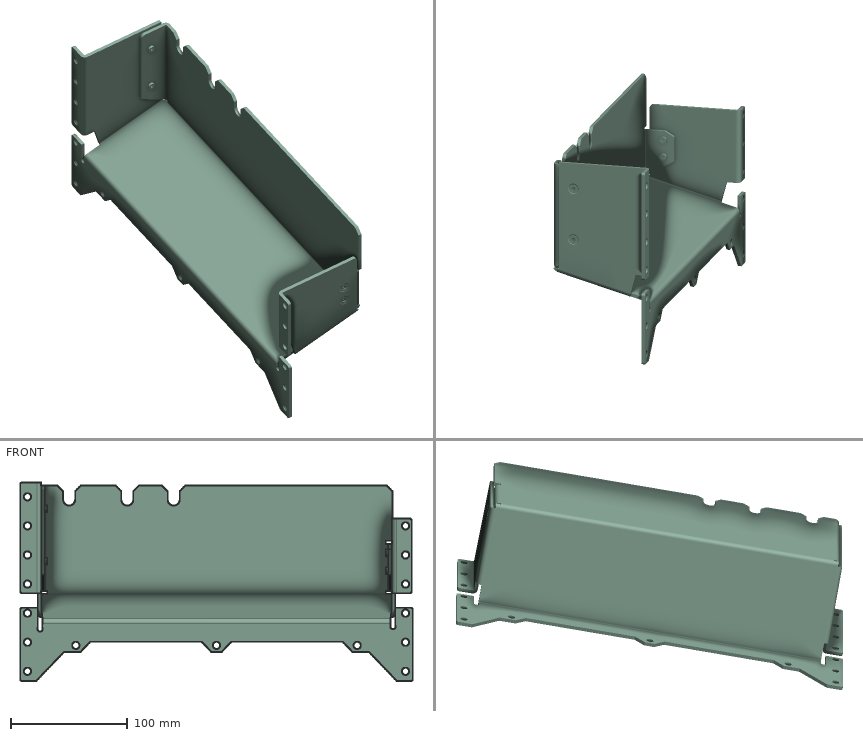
import cadquery as cq
import math

sheet = 3.0
inner_bend = 1.0
outer_bend = inner_bend + sheet

slope = 15
floor_top_at_front = 53.0
floor_half_width = 149.7
slope_cos = math.cos(math.radians(slope))
slope_tan = math.tan(math.radians(slope))
floor_drop = sheet / slope_cos

depth = 86.5
wall_front = depth - sheet
wall_top = 168.3
wall_right = 151.5
wall_chamfer = 5.0
notch_centres = (-126.8, -76.7, -37.0)
notch_width = 10.0
notch_bottom = 151.0
notch_flare = 5.0
relief_bottom = 75.0
relief_end = 145.7
tab_bottom = 77.5
tab_front = 58.0
tab_slant = 30
left_tab_round = 4.0
right_tab_top = 118.0
right_tab_relief = 2.7
right_tab_chamfer = 8.0

plate_outer = floor_half_width + outer_bend
plate_inner = plate_outer - sheet
plate_back = 80.5
bend_overrun = 1.5
plate_bottom = 75.5
plate_cut_back = 12.0
left_plate_top = 171.0
right_plate_top = 140.0
right_plate_edge = 168.0
right_plate_round = 3.0
flange_corner = 2.0

flange_edge = 169.0
ear_top = 63.2
web_bottom = 33.8
foot_bottom = 25.0
outer_foot_centre = 121.0
outer_foot_inner_end = 117.0
outer_foot_end = 131.0
middle_foot_half = 4.5
foot_flare = 8.5
leg_foot = 155.0
slot_centre = 151.8
slot_width = 3.7
slot_hole = 4.5
left_slot_bottom = 45.0
right_slot_bottom = 47.0

hole_diameter = 6.0
hole_column = 162.5
hole_pitch = 25.0
hole_rows = 7
first_hole = 8.5
foot_hole_height = 30.8

grip = 2 * sheet
rivet_y = 67.5
left_rivet_heights = (148.5, 103.0)
right_rivet_heights = (110.2, 95.0)
rivet_head = 8.0
rivet_shank = 4.0
rivet_bore = 2.0
rivet_tail = 6.0
rivet_tail_height = 2.0
rivet_recess = 4.0
rivet_recess_depth = 1.0
rivet_seat_diameter = 9.0


def floor_top(y):
    """Height of the floor's upper face at a distance y behind the front."""
    return floor_top_at_front + y * slope_tan


def plate_xz(points, y_start, thickness):
    """Flat plate with an outline in X and Z, running from y_start towards +Y."""
    return cq.Workplane("XZ", origin=(0, y_start, 0)).polyline(points).close().extrude(-thickness)


def drill_flange(x, z, diameter):
    """Round cutter along Y through the front flanges."""
    return cq.Workplane("XZ").center(x, z).circle(diameter / 2).extrude(-sheet)


def block(x_min, x_max, y_min, y_max, z_min, z_max):
    """Box between given limits along each axis."""
    size = (x_max - x_min, y_max - y_min, z_max - z_min)
    return cq.Workplane("XY", origin=(x_min, y_min, z_min)).box(*size, centered=False)


def mirrored(body, side):
    """Bodies are modelled on the left; side = 1 moves them to the right."""
    return body if side < 0 else body.mirror("YZ")


def bend(section, corner, radius):
    """Round the long edge of a bent section that passes through the corner."""
    return section.edges(cq.NearestToPointSelector(corner)).fillet(radius)


def tray():
    """Front flange strip, floor and back wall as one bent section along X."""
    back_outer = floor_top(depth) - floor_drop
    front_inner = floor_top(sheet) - floor_drop
    points = [
        (0, web_bottom),
        (0, floor_top(0)),
        (wall_front, floor_top(wall_front)),
        (wall_front, wall_top),
        (depth, wall_top),
        (depth, back_outer),
        (sheet, front_inner),
        (sheet, web_bottom),
    ]
    section = cq.Workplane("YZ", origin=(-floor_half_width, 0, 0)).polyline(points).close()
    body = section.extrude(2 * floor_half_width)
    body = bend(body, (0, 0, floor_top(0)), outer_bend)
    body = bend(body, (0, sheet, front_inner), inner_bend)
    body = bend(body, (0, wall_front, floor_top(wall_front)), inner_bend)
    body = bend(body, (0, depth, back_outer), outer_bend)
    for side in (-1, 1):
        strip = block(-plate_outer, -relief_end, wall_front - inner_bend, depth, relief_bottom, wall_top)
        body = body.cut(mirrored(strip, side))
    return body


def wall_tab(side, top):
    """Tab folded forward from the end of the back wall, lying inside a side plate."""
    inside = plate_inner - sheet
    points = [
        (-plate_inner, tab_front),
        (-plate_inner, depth),
        (-relief_end, depth),
        (-relief_end, wall_front),
        (-inside, wall_front),
        (-inside, tab_front),
    ]
    body = cq.Workplane("XY", origin=(0, 0, tab_bottom)).polyline(points).close().extrude(top - tab_bottom)
    mid = (top + tab_bottom) / 2
    body = bend(body, (-plate_inner, depth, mid), outer_bend)
    body = bend(body, (-inside, wall_front, mid), inner_bend)
    bend_start = depth - outer_bend
    rise = (bend_start - tab_front) * math.tan(math.radians(tab_slant))
    slant = (
        cq.Workplane("YZ", origin=(-plate_inner, 0, 0))
        .polyline([(tab_front, tab_bottom), (bend_start, tab_bottom), (tab_front, tab_bottom + rise)])
        .close()
        .extrude(sheet)
    )
    return mirrored(body.cut(slant), side)


def left_tab():
    """Full-height tab with a rounded top front corner."""
    body = wall_tab(-1, wall_top)
    corner = cq.NearestToPointSelector((-plate_inner + sheet / 2, tab_front, wall_top))
    return body.edges(corner).fillet(left_tab_round)


def right_tab():
    """Short tab with a slanted top front corner."""
    body = wall_tab(1, right_tab_top)
    drop = right_tab_chamfer * math.tan(math.radians(tab_slant))
    chamfer = (
        cq.Workplane("YZ", origin=(plate_inner - sheet, 0, 0))
        .polyline([
            (tab_front, right_tab_top),
            (tab_front + right_tab_chamfer, right_tab_top),
            (tab_front, right_tab_top - drop),
        ])
        .close()
        .extrude(sheet)
    )
    return body.cut(chamfer)


def right_wall_end():
    """Flat end of the back wall above the right tab."""
    points = [
        (relief_end, right_tab_top + right_tab_relief),
        (wall_right, right_tab_top + right_tab_relief),
        (wall_right, wall_top - wall_chamfer),
        (wall_right - wall_chamfer, wall_top),
        (relief_end, wall_top),
    ]
    return plate_xz(points, wall_front, sheet)


def notch(x):
    """Flared slot with a round bottom, open at the top of the back wall."""
    half = notch_width / 2
    return (
        cq.Workplane("XZ", origin=(x, wall_front, 0))
        .moveTo(-half - notch_flare, wall_top)
        .lineTo(-half, wall_top - notch_flare)
        .lineTo(-half, notch_bottom + half)
        .threePointArc((0, notch_bottom), (half, notch_bottom + half))
        .lineTo(half, wall_top - notch_flare)
        .lineTo(half + notch_flare, wall_top)
        .close()
        .extrude(-sheet)
    )


def side_plate(side, top, edge):
    """Upright plate with an outward front flange, joined to the floor by a bend."""
    bend_line = floor_top_at_front - floor_drop + outer_bend / slope_cos
    points = [
        (-edge, 0),
        (-plate_inner, 0),
        (-plate_inner, plate_back),
        (-plate_outer, plate_back),
        (-plate_outer, sheet),
        (-edge, sheet),
    ]
    body = cq.Workplane("XY").polyline(points).close().extrude(top)
    body = bend(body, (-plate_inner, 0, top / 2), outer_bend)
    body = bend(body, (-plate_outer, sheet, top / 2), inner_bend)
    cut_y = (plate_cut_back + slope_tan * (plate_bottom - bend_line)) / (1 + slope_tan**2)
    outline = (
        cq.Workplane("YZ", origin=(-edge, 0, 0))
        .polyline([
            (0, plate_bottom),
            (plate_cut_back, plate_bottom),
            (cut_y, bend_line + cut_y * slope_tan),
            (plate_back, bend_line + plate_back * slope_tan),
            (plate_back, top),
            (0, top),
        ])
        .close()
        .extrude(edge)
    )
    body = body.intersect(outline)
    for z in (plate_bottom, top):
        body = body.edges(cq.NearestToPointSelector((-edge, sheet / 2, z))).fillet(flange_corner)
    floor_bend = (
        cq.Workplane("XZ")
        .moveTo(-plate_outer, 0)
        .radiusArc((-floor_half_width, -outer_bend), -outer_bend)
        .lineTo(-floor_half_width, -inner_bend)
        .radiusArc((-plate_inner, 0), inner_bend)
        .close()
        .extrude(-(plate_back + bend_overrun - cut_y) / slope_cos)
        .rotate((0, 0, 0), (1, 0, 0), slope)
        .translate((0, cut_y, bend_line + cut_y * slope_tan))
    )
    return mirrored(body.union(floor_bend), side)


def right_side_plate():
    """Shorter plate with a rounded top back corner."""
    body = side_plate(1, right_plate_top, right_plate_edge)
    corner = cq.NearestToPointSelector((plate_inner + sheet / 2, plate_back, right_plate_top))
    return body.edges(corner).fillet(right_plate_round)


def front_flange():
    """Lower flange with an ear at each end, two legs and three feet."""
    web_top = floor_top_at_front - outer_bend
    points = [
        (-flange_edge, 0),
        (-leg_foot, 0),
        (-outer_foot_end, foot_bottom),
        (-outer_foot_inner_end, foot_bottom),
        (-outer_foot_inner_end + foot_flare, web_bottom),
        (-middle_foot_half - foot_flare, web_bottom),
        (-middle_foot_half, foot_bottom),
        (middle_foot_half, foot_bottom),
        (middle_foot_half + foot_flare, web_bottom),
        (outer_foot_inner_end - foot_flare, web_bottom),
        (outer_foot_inner_end, foot_bottom),
        (outer_foot_end, foot_bottom),
        (leg_foot, 0),
        (flange_edge, 0),
        (flange_edge, ear_top),
        (slot_centre, ear_top),
        (slot_centre, web_top),
        (-slot_centre, web_top),
        (-slot_centre, ear_top),
        (-flange_edge, ear_top),
    ]
    body = plate_xz(points, 0, sheet)
    for x in (-flange_edge, flange_edge):
        for z in (0, ear_top):
            body = body.edges(cq.NearestToPointSelector((x, sheet / 2, z))).fillet(flange_corner)
    return body


def corner_slot(x, bottom):
    """Slot between an ear and the floor, ending in a round relief hole."""
    half = slot_width / 2
    slot = block(x - half, x + half, 0, sheet, bottom, ear_top)
    return slot.union(drill_flange(x, bottom, slot_hole))


def revolved(points, side, z):
    """Solid of revolution about X, from (distance from the outer face, radius) points."""
    body = cq.Workplane("XY").polyline(points).close().revolve(360, (0, 0), (1, 0))
    return mirrored(body.translate((-plate_outer, rivet_y, z)), side)


def rivet(side, z):
    """Flush countersunk rivet through a side plate and tab, with a round tail inside."""
    head = rivet_head / 2
    shank = rivet_shank / 2
    bore = rivet_bore / 2
    tail = rivet_tail / 2
    recess = rivet_recess / 2
    tail_end = grip + rivet_tail_height
    points = [
        (rivet_recess_depth, bore),
        (rivet_recess_depth, recess),
        (0, recess),
        (0, head),
        (head - shank, shank),
        (grip, shank),
        (grip, tail),
        (tail_end, tail),
        (tail_end, bore),
    ]
    return revolved(points, side, z)


def rivet_seat(side, z):
    """Countersunk hole through a side plate and tab, slightly wider than the head at its mouth."""
    mouth = rivet_seat_diameter / 2
    shank = rivet_shank / 2
    cone_end = (rivet_head - rivet_shank) / 2
    return revolved([(0, 0), (0, mouth), (cone_end, shank), (grip, shank), (grip, 0)], side, z)


bracket = tray().union(front_flange())
bracket = bracket.cut(corner_slot(-slot_centre, left_slot_bottom))
bracket = bracket.cut(corner_slot(slot_centre, right_slot_bottom))
bracket = bracket.union(left_tab()).union(right_tab()).union(right_wall_end())
bracket = bracket.union(side_plate(-1, left_plate_top, flange_edge))
bracket = bracket.union(right_side_plate())

for notch_x in notch_centres:
    bracket = bracket.cut(notch(notch_x))

for row in range(hole_rows):
    for hole_x in (-hole_column, hole_column):
        bracket = bracket.cut(drill_flange(hole_x, first_hole + row * hole_pitch, hole_diameter))
for foot_x in (-outer_foot_centre, 0, outer_foot_centre):
    bracket = bracket.cut(drill_flange(foot_x, foot_hole_height, hole_diameter))

rivet_places = [(-1, z) for z in left_rivet_heights] + [(1, z) for z in right_rivet_heights]
rivets = []
for rivet_side, rivet_z in rivet_places:
    bracket = bracket.cut(rivet_seat(rivet_side, rivet_z))
    rivets.append(rivet(rivet_side, rivet_z).val())

result = cq.Compound.makeCompound([bracket.val(), *rivets])